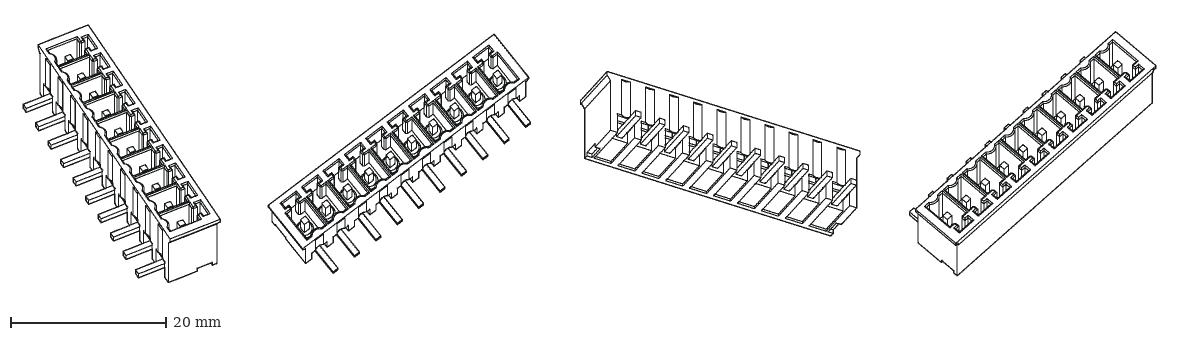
import cadquery as cq
import math


poles = 10
pole_span = 31.5
length = 37.0
height = 9.2
body_depth = 7.05
flare = 0.48
lip_height = 0.6
flare_height = 1.35
back_lip = 0.22
back_lip_height = 1.0

pin_size = 0.8
pin_y = 3.07
pin_top = 7.85
pin_leg_z = 1.22
pin_reach = 3.35

mouth_chamfer = 0.2
pocket_floor = 3.0
pocket_width = 2.92
pocket_front = 0.75
pocket_shoulder = 4.95
neck_half_width = 0.55
neck_corner = 0.2
key_half_width = 1.15
key_front = 5.7
key_back = 6.35
arch_radius = 1.15
boss_base_radius = 1.15
boss_top_radius = 0.92
boss_height = 0.5

groove_width = 1.3
groove_depth = 0.22
groove_top = height - 0.55
opening_width = 2.48
opening_top = 3.0
opening_depth = 0.37
channel_top = 2.0
channel_depth = 1.85
channel_chamfer = 0.2
slit_width = 0.05
slit_depth = 0.2

recess_height = 0.35
recess_back = 6.4
end_notch_front = 4.2
end_notch_height = 0.55
end_notch_depth = 0.75

body_length = length - 2 * flare
pitch = pole_span / (poles - 1)
pole_xs = [i * pitch - pole_span / 2 for i in range(poles)]


def box(x0, x1, y0, y1, z0, z1):
    """Axis-aligned block between two corners."""
    return cq.Workplane("XY").box(x1 - x0, y1 - y0, z1 - z0, centered=False).translate((x0, y0, z0))


def housing():
    """Block with a flared mouth at both ends and a lip along the back."""
    half_body = body_length / 2
    half_mouth = length / 2
    profile = [
        (-half_body, 0),
        (half_body, 0),
        (half_body, height - flare_height),
        (half_mouth, height - lip_height),
        (half_mouth, height),
        (-half_mouth, height),
        (-half_mouth, height - lip_height),
        (-half_body, height - flare_height),
    ]
    body = cq.Workplane("XZ").polyline(profile).close().extrude(-body_depth)
    lip_back = body_depth + back_lip
    top_lip = box(-half_mouth, half_mouth, body_depth, lip_back, height - lip_height, height)
    rear_lip = box(-half_body, half_body, body_depth, lip_back, height - back_lip_height, height)
    return body.union(top_lip).union(rear_lip)


def pocket_outline(z, grow):
    """T-keyed pocket outline with an arched front wall, enlarged all round by grow."""
    front = pocket_front - grow
    radius = arch_radius - grow
    arch_half = math.sqrt(radius**2 - front**2)
    side = pocket_width / 2 + grow
    shoulder = pocket_shoulder + grow
    neck = neck_half_width + grow
    bevel = neck_corner - grow * (2 - math.sqrt(2))
    key_side = key_half_width + grow
    return (
        cq.Workplane("XY", origin=(0, 0, z))
        .moveTo(-side, front)
        .lineTo(-arch_half, front)
        .threePointArc((0, radius), (arch_half, front))
        .lineTo(side, front)
        .lineTo(side, shoulder)
        .lineTo(neck + bevel, shoulder)
        .lineTo(neck, shoulder + bevel)
        .lineTo(neck, key_front - grow)
        .lineTo(key_side, key_front - grow)
        .lineTo(key_side, key_back + grow)
        .lineTo(-key_side, key_back + grow)
        .lineTo(-key_side, key_front - grow)
        .lineTo(-neck, key_front - grow)
        .lineTo(-neck, shoulder + bevel)
        .lineTo(-neck - bevel, shoulder)
        .lineTo(-side, shoulder)
        .close()
    )


def pocket():
    """Pocket volume with a chamfered mouth and a tapered boss standing on its floor."""
    shaft = pocket_outline(pocket_floor, 0).extrude(height - pocket_floor)
    rim_wire = pocket_outline(height, mouth_chamfer).val()
    base_wire = pocket_outline(height - mouth_chamfer, 0).val()
    mouth = cq.Workplane(cq.Solid.makeLoft([base_wire, rim_wire], True))
    boss = cq.Workplane(
        cq.Solid.makeCone(
            boss_base_radius, boss_top_radius, boss_height, pnt=cq.Vector(0, pin_y, pocket_floor)
        )
    )
    return shaft.union(mouth).cut(boss)


def groove():
    """Shallow round groove up the front face."""
    radius = ((groove_width / 2) ** 2 + groove_depth**2) / (2 * groove_depth)
    return (
        cq.Workplane("XY", origin=(0, groove_depth - radius, opening_top))
        .circle(radius)
        .extrude(groove_top - opening_top)
    )


def pin_opening():
    """Stepped opening for the bent pin, with a shallow recess behind it in the underside."""
    profile = [
        (0, 0),
        (recess_back, 0),
        (recess_back, recess_height),
        (channel_depth, recess_height),
        (channel_depth, channel_top),
        (opening_depth + channel_chamfer, channel_top),
        (opening_depth, channel_top + channel_chamfer),
        (opening_depth, opening_top),
        (0, opening_top),
    ]
    return cq.Workplane("YZ").polyline(profile).close().extrude(opening_width / 2, both=True)


def wall_slit():
    """Fine upright slit in the wall above the channel chamfer."""
    half = slit_width / 2
    slit_bottom = channel_top + channel_chamfer
    return box(-half, half, opening_depth, opening_depth + slit_depth, slit_bottom, opening_top)


def pin():
    """Square pin bent from the pocket out through the front."""
    half = pin_size / 2
    post = box(-half, half, pin_y - half, pin_y + half, pin_leg_z - half, pin_top)
    leg = box(-half, half, -pin_reach, pin_y + half, pin_leg_z - half, pin_leg_z + half)
    return post.union(leg)


def end_notch(side):
    """Shallow notch in the foot of one end wall."""
    outer = side * body_length / 2
    inner = outer - side * end_notch_depth
    return box(min(outer, inner), max(outer, inner), end_notch_front, recess_back, 0, end_notch_height)


pole_cut = pocket().union(groove()).union(pin_opening())
pole_slit = wall_slit()
pole_pin = pin()

result = housing()
for x in pole_xs:
    result = result.cut(pole_cut.translate((x, 0, 0)))
for x in pole_xs[1:-1]:
    result = result.cut(pole_slit.translate((x, 0, 0)))
for x in pole_xs:
    result = result.union(pole_pin.translate((x, 0, 0)))
for side in (-1, 1):
    result = result.cut(end_notch(side))